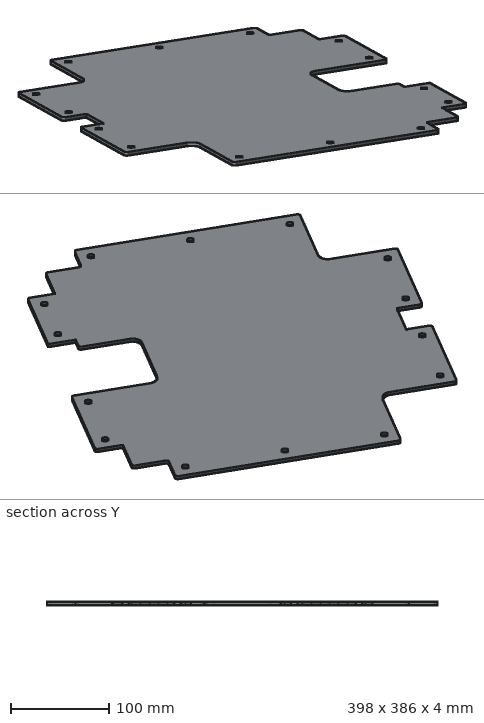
import cadquery as cq

width = 398.0
depth = 386.0
thickness = 4.0
half_width = width / 2
back_y = depth / 2
front_y = -depth / 2

step_half_width = 170.0
back_half_width = 133.0
front_half_width = 117.0
step_y = 164.0
shoulder_back_y = 126.0
shoulder_front_y = -112.0

slot_half_width = 39.0
slot_floor_y = 100.0
right_tab_inner_x = 52.0
notch_half_width = 18.5
notch_floor_y = -166.0

corner_radius = 3.0
relief_radius = 10.0

hole_diameter = 6.6
hole_inset = 14.0

outline_corners = [
    (-half_width, shoulder_front_y, corner_radius),
    (-front_half_width, shoulder_front_y, relief_radius),
    (-front_half_width, front_y, corner_radius),
    (-notch_half_width, front_y, corner_radius),
    (-notch_half_width, notch_floor_y, 0),
    (notch_half_width, notch_floor_y, 0),
    (notch_half_width, front_y, corner_radius),
    (front_half_width, front_y, corner_radius),
    (front_half_width, shoulder_front_y, relief_radius),
    (half_width, shoulder_front_y, corner_radius),
    (half_width, shoulder_back_y, corner_radius),
    (step_half_width, shoulder_back_y, corner_radius),
    (step_half_width, step_y, corner_radius),
    (back_half_width, step_y, 0),
    (back_half_width, back_y, corner_radius),
    (right_tab_inner_x, back_y, 0),
    (right_tab_inner_x, step_y, 0),
    (slot_half_width, step_y, corner_radius),
    (slot_half_width, slot_floor_y, relief_radius),
    (-slot_half_width, slot_floor_y, relief_radius),
    (-slot_half_width, back_y, corner_radius),
    (-back_half_width, back_y, corner_radius),
    (-back_half_width, step_y, 0),
    (-step_half_width, step_y, corner_radius),
    (-step_half_width, shoulder_back_y, corner_radius),
    (-half_width, shoulder_back_y, corner_radius),
]


def make_plate():
    """Stepped flat plate with its vertical corner edges rounded."""
    points = [(x, y) for x, y, _ in outline_corners]
    plate = cq.Workplane("XY").polyline(points).close().extrude(thickness)
    for x, y, radius in outline_corners:
        if radius > 0:
            corner_middle = (x, y, thickness / 2)
            plate = plate.edges(cq.NearestToPointSelector(corner_middle)).fillet(radius)
    return plate


def hole_centres():
    """Mounting hole centres, each inset from the nearest plate edges."""
    back_row_y = back_y - hole_inset
    front_row_y = front_y + hole_inset
    centres = [
        (-back_half_width + hole_inset, back_row_y),
        (-slot_half_width - hole_inset, back_row_y),
        (right_tab_inner_x + hole_inset, back_row_y),
        (back_half_width - hole_inset, back_row_y),
    ]
    side_y = (
        shoulder_front_y + hole_inset,
        (shoulder_front_y + shoulder_back_y) / 2,
        shoulder_back_y - hole_inset,
    )
    for side in (-1, 1):
        for y in side_y:
            centres.append((side * (half_width - hole_inset), y))
        centres.append((side * (front_half_width - hole_inset), front_row_y))
        centres.append((side * (notch_half_width + hole_inset), front_row_y))
    return centres


def drill_holes(plate):
    """Cut every mounting hole right through the plate."""
    drills = cq.Workplane("XY").pushPoints(hole_centres()).circle(hole_diameter / 2)
    return plate.cut(drills.extrude(thickness))


result = drill_holes(make_plate())